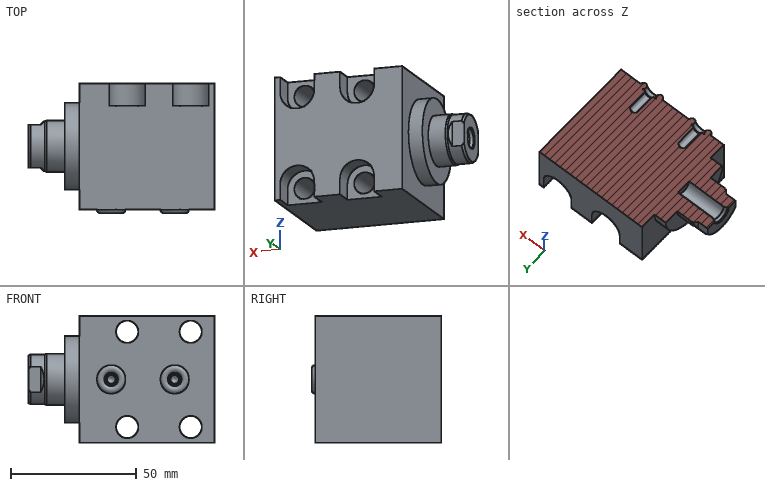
import cadquery as cq
import math


block_length = 54.1
block_height = 50.8
block_depth = 50.5
back_y = 25.15
front_y = back_y - block_depth

flange_diameter = 34.9
flange_length = 5.9
spindle_reach = 20.45
collar_diameter = 20.7
tip_diameter = 20.1
tip_length = 6.6
tip_step_length = 0.75
end_chamfer_length = 1.0
end_chamfer_height = 0.5

flats_width = 17.3
flats_length = 4.9

bore_diameter = 6.6
bore_depth = 20.0
countersink_mouth_diameter = 8.75
countersink_middle_diameter = 7.8
outer_cone_half_angle = 45
inner_cone_half_angle = 24

mount_pitch_x = 25.4
mount_pitch_z = 38.1
mount_first_x = 19.1
mount_hole_diameter = 8.8
slot_width = 14.5
slot_depth = 9.0

port_first_x = 12.7
port_pitch_x = 25.4
ring_outer_diameter = 11.45
ring_section_radius = 1.49
ring_radius = ring_outer_diameter / 2 - ring_section_radius
ring_reach = 1.49
ring_seat_depth = 1.35
port_mouth_diameter = 4.45
port_hole_diameter = 3.4
port_chamfer = (port_mouth_diameter - port_hole_diameter) / 2
port_hole_depth = 10.0
drill_tip_height = port_hole_diameter / 2 / math.tan(math.radians(59))


def make_block():
    return cq.Workplane("XY").box(
        block_length, block_depth, block_height, centered=(False, False, True)
    ).translate((0, front_y, 0))


def turn_about_x(profile):
    """Revolve (x, radius) points about the X axis."""
    return cq.Workplane("XY").polyline(profile).close().revolve(360, (0, 0), (1, 0))


def make_spindle():
    end_x = -spindle_reach
    step_x = end_x + tip_length
    tip_radius = tip_diameter / 2
    collar_radius = collar_diameter / 2
    flange_radius = flange_diameter / 2
    spindle = turn_about_x([
        (0, 0),
        (end_x, 0),
        (end_x, tip_radius - end_chamfer_height),
        (end_x + end_chamfer_length, tip_radius),
        (step_x, tip_radius),
        (step_x + tip_step_length, collar_radius),
        (-flange_length, collar_radius),
        (-flange_length, flange_radius),
        (0, flange_radius),
    ])
    for side in (1, -1):
        spindle = spindle.cut(make_flat_cutter(end_x, side))
    return spindle


def make_flat_cutter(end_x, side):
    """Wedge that mills one flat; side is +1 or -1 along Y."""
    inner_y = flats_width / 2
    outer_y = collar_diameter / 2 + 1
    runout = outer_y - inner_y
    flat_end_x = end_x + flats_length
    return (
        cq.Workplane("XY")
        .polyline([
            (end_x, side * inner_y),
            (flat_end_x, side * inner_y),
            (flat_end_x + runout, side * outer_y),
            (end_x, side * outer_y),
        ])
        .close()
        .extrude(collar_diameter / 2, both=True)
    )


def make_spindle_bore():
    end_x = -spindle_reach
    mouth_radius = countersink_mouth_diameter / 2
    middle_radius = countersink_middle_diameter / 2
    bore_radius = bore_diameter / 2
    middle_x = end_x + (mouth_radius - middle_radius) / math.tan(math.radians(outer_cone_half_angle))
    bore_x = middle_x + (middle_radius - bore_radius) / math.tan(math.radians(inner_cone_half_angle))
    return turn_about_x([
        (end_x, 0),
        (end_x, mouth_radius),
        (middle_x, middle_radius),
        (bore_x, bore_radius),
        (end_x + bore_depth, bore_radius),
        (end_x + bore_depth, 0),
    ])


def make_mounting_cutter(x, side):
    """Through hole plus its open-ended slot; side is +1 for the top and -1 for the bottom."""
    z = side * mount_pitch_z / 2
    slot_floor_y = back_y - slot_depth
    hole = (
        cq.Workplane("XZ", origin=(x, back_y, z))
        .circle(mount_hole_diameter / 2)
        .extrude(block_depth)
    )
    slot_end = (
        cq.Workplane("XZ", origin=(x, back_y, z))
        .circle(slot_width / 2)
        .extrude(slot_depth)
    )
    slot_opening = cq.Workplane("XY").box(
        slot_width, slot_depth, slot_width, centered=(True, False, True)
    ).translate((x, slot_floor_y, z + side * slot_width / 2))
    return hole.union(slot_end).union(slot_opening)


def make_ring_seat(x):
    """Shallow round recess under the inner half of the O-ring."""
    return (
        cq.Workplane("XZ", origin=(x, front_y, 0))
        .circle(ring_radius)
        .extrude(-ring_seat_depth)
    )


def make_port_ring(x):
    center_y = front_y - ring_reach + ring_section_radius
    ring = cq.Solid.makeTorus(
        ring_radius, ring_section_radius, cq.Vector(x, center_y, 0), cq.Vector(0, 1, 0)
    )
    return cq.Workplane(ring)


def make_port_hole(x):
    """Chamfered blind hole with a conical drill tip, bored along Y from the floor of the ring seat."""
    hole_radius = port_hole_diameter / 2
    return (
        cq.Workplane("XY", origin=(x, front_y + ring_seat_depth, 0))
        .polyline([
            (0, 0),
            (port_mouth_diameter / 2, 0),
            (hole_radius, port_chamfer),
            (hole_radius, port_hole_depth),
            (0, port_hole_depth + drill_tip_height),
        ])
        .close()
        .revolve(360, (0, 0), (0, 1))
    )


result = make_block().union(make_spindle()).cut(make_spindle_bore())

for column in range(2):
    for side in (1, -1):
        result = result.cut(make_mounting_cutter(mount_first_x + column * mount_pitch_x, side))

for column in range(2):
    port_x = port_first_x + column * port_pitch_x
    result = result.cut(make_ring_seat(port_x)).union(make_port_ring(port_x))
    result = result.cut(make_port_hole(port_x))